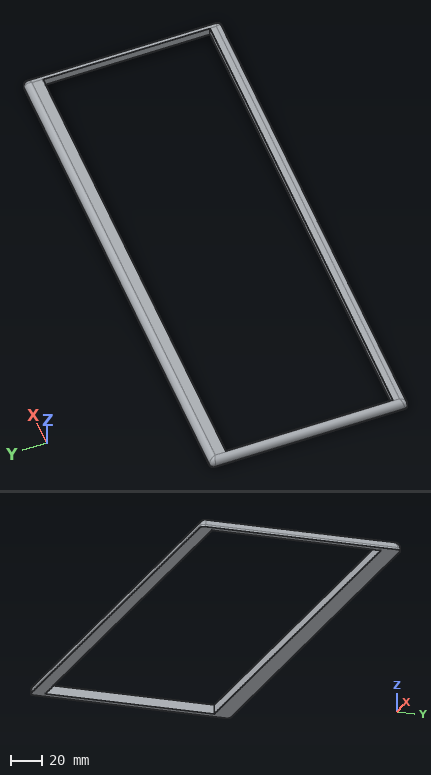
import cadquery as cq
import math

length = 335.0
width = 136.5
height = 6.5

round_radius = 4.7
band_height = height - round_radius
corner_radius = 2.85

side_flat = 0.5
side_rail = round_radius + side_flat
front_rail = 9.0
back_rail = 12.5


def rounded_bar(plane, span, depth):
    """Bar of the given span, its two upper long edges rounded, centred along the plane normal."""
    half = span / 2
    flat_half = half - round_radius
    diagonal = round_radius * math.sqrt(0.5)
    return (
        cq.Workplane(plane)
        .moveTo(-half, 0)
        .lineTo(half, 0)
        .lineTo(half, band_height)
        .threePointArc((flat_half + diagonal, band_height + diagonal), (flat_half, height))
        .lineTo(-flat_half, height)
        .threePointArc((-flat_half - diagonal, band_height + diagonal), (-half, band_height))
        .close()
        .extrude(depth / 2, both=True)
    )


body = rounded_bar("XZ", length, width).intersect(rounded_bar("YZ", width, length))

body = body.edges("|Z").fillet(corner_radius)

opening = (
    cq.Workplane("XY")
    .center(0, (front_rail - back_rail) / 2)
    .rect(length - 2 * side_rail, width - front_rail - back_rail)
    .extrude(height)
)

result = body.cut(opening)